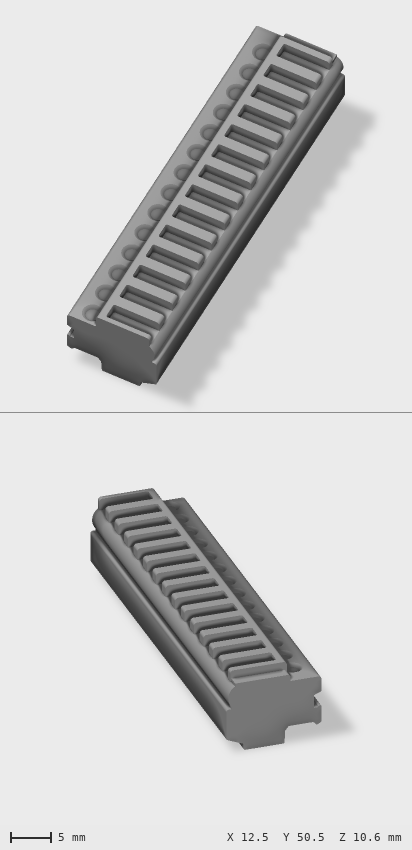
import cadquery as cq

width = 12.5
length = 50.5
height = 10.6
right_x = width / 2
left_x = -right_x
top_z = height / 2
bottom_z = -top_z
back_y = length / 2

block_left_x = -2.15
block_right_x = 5.25
ledge_z = 3.3
block_round = 0.4
ledge_round = 0.5
inner_fillet = 0.15
ledge_end_x = block_left_x - inner_fillet

bulge_top_z = 3.75
bulge_mid_x = 6.0
bulge_mid_z = 2.35
bulge_end_x = 5.6
bulge_end_z = 1.0
shelf_z = 0.7
shelf_round = 0.35

slope_start_z = -3.5
slope_end_z = -4.45
foot_right_x = 4.0
foot_left_x = -1.35
foot_top_x = -1.45
foot_bevel_z = -3.55
foot_bevel_x = -1.9
underside_z = -3.0
corner_round = 0.2

groove_x = -5.25
groove_top_z = 0.75
groove_mouth_z = 1.15
groove_floor_z = -1.0
nose_width = 0.45
nose_height = 0.2
hook_corner_z = -3.15
hook_corner_round = 0.4
hook_tip_x = -5.6
hook_tip_z = -3.45
hook_end_x = -5.15

step_length = 1.4
step_z = 4.2
step_right_x = 5.1

pole_count = 14
pole_span = 45.5
pitch = pole_span / (pole_count - 1)
first_pole_inset = 3.35
first_pole_y = back_y - first_pole_inset
screw_x = -3.55
screw_top_radius = 1.3
screw_floor_radius = 0.85
screw_depth = 0.4
slot_left_x = -1.1
slot_width = 2.1
slot_round = 0.25

pole_centers = [first_pole_y - pitch * index for index in range(pole_count)]


def round_corner(body, x, z, radius):
    """Round the lengthwise edge that passes through (x, z)."""
    return body.edges("|Y").edges(cq.NearestToPointSelector((x, 0, z))).fillet(radius)


def make_body():
    """Extrude the end profile and round its corners."""
    nose_top = (left_x + nose_width / 2, groove_floor_z + nose_height)
    nose_end = (left_x + nose_width, groove_floor_z)
    body = (
        cq.Workplane("XZ", origin=(0, back_y, 0))
        .moveTo(left_x, ledge_z)
        .lineTo(block_left_x, ledge_z)
        .lineTo(block_left_x, top_z)
        .lineTo(block_right_x, top_z)
        .lineTo(block_right_x, bulge_top_z)
        .threePointArc((bulge_mid_x, bulge_mid_z), (bulge_end_x, bulge_end_z))
        .lineTo(bulge_end_x, shelf_z)
        .lineTo(right_x, shelf_z)
        .lineTo(right_x, slope_start_z)
        .lineTo(foot_right_x, slope_end_z)
        .lineTo(foot_right_x, bottom_z)
        .lineTo(foot_left_x, bottom_z)
        .lineTo(foot_top_x, foot_bevel_z)
        .lineTo(foot_bevel_x, underside_z)
        .lineTo(hook_end_x, underside_z)
        .lineTo(hook_tip_x, hook_tip_z)
        .lineTo(left_x, hook_corner_z)
        .lineTo(left_x, groove_floor_z)
        .threePointArc(nose_top, nose_end)
        .lineTo(groove_x, groove_floor_z)
        .lineTo(groove_x, groove_top_z)
        .lineTo(left_x, groove_mouth_z)
        .close()
        .extrude(length)
    )
    for x, z, radius in (
        (left_x, ledge_z, ledge_round),
        (block_left_x, ledge_z, inner_fillet),
        (block_left_x, top_z, block_round),
        (block_right_x, top_z, block_round),
        (right_x, shelf_z, shelf_round),
        (right_x, slope_start_z, corner_round),
        (foot_right_x, bottom_z, corner_round),
        (foot_left_x, bottom_z, corner_round),
        (left_x, hook_corner_z, hook_corner_round),
        (left_x, groove_mouth_z, corner_round),
    ):
        body = round_corner(body, x, z, radius)
    return body


def box_between(x_range, y_range, z_range):
    """Box spanning three (low, high) ranges."""
    size = [high - low for low, high in (x_range, y_range, z_range)]
    corner = (x_range[0], y_range[0], z_range[0])
    return cq.Workplane("XY").box(*size, centered=False).translate(corner)


def cut_end_step(body):
    """Replace the upper block at the +Y end with a lower one, narrower on the right."""
    y_range = (back_y - step_length, back_y)
    removed = box_between((ledge_end_x, block_right_x), y_range, (ledge_z, top_z))
    removed = removed.cut(box_between((step_right_x, block_right_x), y_range, (ledge_z, bulge_top_z)))
    step = box_between((block_left_x, step_right_x), y_range, (ledge_z, step_z))
    step = step.edges("|Y and <X and >Z").fillet(block_round)
    return body.cut(removed.cut(step))


def cut_screw_recesses(body):
    """Conical flat-floored recess in the ledge at every pole, stopping short of the block."""
    recess = cq.Workplane(
        cq.Solid.makeCone(screw_floor_radius, screw_top_radius, screw_depth)
    )
    block_side = box_between(
        (ledge_end_x - screw_x, screw_top_radius), (-screw_top_radius, screw_top_radius), (0, screw_depth)
    )
    recess = recess.cut(block_side)
    for y in pole_centers:
        body = body.cut(recess.translate((screw_x, y, ledge_z - screw_depth)))
    return body


def cut_top_slots(body):
    """Slot across the upper block at every pole, open on the right side."""
    half_width = slot_width / 2
    slot = box_between((slot_left_x, right_x), (-half_width, half_width), (bulge_top_z, top_z))
    slot = slot.edges("|Z and <X").fillet(slot_round)
    for y in pole_centers:
        body = body.cut(slot.translate((0, y, 0)))
    return body


result = cut_top_slots(cut_screw_recesses(cut_end_step(make_body())))